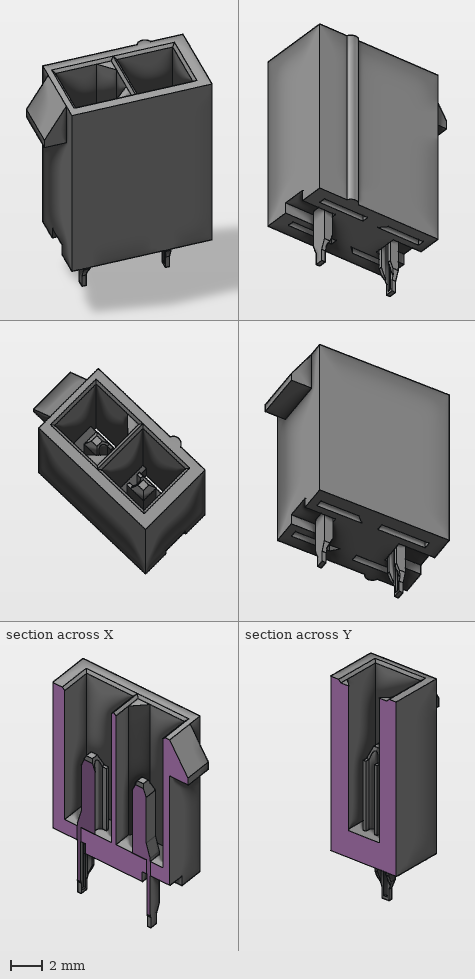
import cadquery as cq


TOTAL_HEIGHT = 16.3
HOUSING_HEIGHT = 12.8
MOUTH = 4.2
MOUTH_CHAMFER = 0.2
CAVITY = MOUTH - 2 * MOUTH_CHAMFER
LEFT_WALL = 0.6
RIGHT_WALL = 0.68
FRONT_WALL = 0.39
REAR_WALL = 0.8
HOUSING_LEFT = -MOUTH / 2 - LEFT_WALL
HOUSING_RIGHT = MOUTH / 2 + RIGHT_WALL
HOUSING_FRONT = -MOUTH - FRONT_WALL
HOUSING_REAR = MOUTH + REAR_WALL
FLOOR_TOP = 2.0
CAVITY_TOP = HOUSING_HEIGHT - MOUTH_CHAMFER

KEY_LEG = 1.0

FLOOR_WIDTH = 2.8
FLOOR_LEDGE = 0.31

NOTCH_WIDTH = 1.8
NOTCH_HEIGHT = 0.8

LATCH_WIDTH = 3.4
LATCH_REACH = 1.5
LATCH_HEIGHT = 3.0
LATCH_LIP = 0.6

RIB_RADIUS = 0.5
RIB_HEIGHT = 0.31
RIB_FROM_REAR = 2.67

PIN_SPAN = 6.0
PIN_WIDTH = 1.17
LEG_THICKNESS = 0.23
CHANNEL_WIDTH = PIN_WIDTH - 2 * LEG_THICKNESS

PLATE_THICKNESS = 0.3
SHANK_DEPTH = 0.65
TAIL_BOTTOM = HOUSING_HEIGHT - TOTAL_HEIGHT
TAIL_WIDTH = 0.6
LEGS_SLOPE_TOP = -1.45
LEGS_SLOPE_BOTTOM = -2.31
WAIST_TOP = -1.95
WAIST_BOTTOM = -2.64

TAIL_GROOVE_WIDTH = 0.3
TAIL_GROOVE_DEPTH = 0.15
TAIL_GROOVE_LIP = 0.23

JOG_BOTTOM = 2.25
JOG = 0.33
JOG_HEIGHT = 1.11
POST_TOP = 7.12
POST_INNER = 1.83
POINT_BASE_INNER = JOG + PIN_WIDTH
POINT_TIP = 0.5
POINT_HEIGHT = 0.88
GROOVE_ARC_DEPTH = 0.25

NOTCH_INNER = PIN_SPAN / 2 - SHANK_DEPTH


def box(x_range, y_range, z_range):
    """Axis-aligned block between pairs of limits."""
    (x0, x1), (y0, y1), (z0, z1) = x_range, y_range, z_range
    return cq.Workplane("XY").box(x1 - x0, y1 - y0, z1 - z0, centered=False).translate((x0, y0, z0))


def centred(width):
    """Limits of a width centred on zero."""
    return -width / 2, width / 2


def make_latch():
    """Wedge on the front face, sloping out from the top rim to a short vertical nose."""
    nose = HOUSING_FRONT - LATCH_REACH
    underside = HOUSING_HEIGHT - LATCH_HEIGHT
    housing_middle = (HOUSING_LEFT + HOUSING_RIGHT) / 2
    return (
        cq.Workplane("YZ")
        .moveTo(HOUSING_FRONT, HOUSING_HEIGHT)
        .lineTo(nose, underside + LATCH_LIP)
        .lineTo(nose, underside)
        .lineTo(HOUSING_FRONT, underside)
        .close()
        .extrude(LATCH_WIDTH / 2, both=True)
        .translate((housing_middle, 0, 0))
    )


def make_rib():
    """Full-height rounded rib on the left wall."""
    return (
        cq.Workplane("XY")
        .center(HOUSING_LEFT - RIB_HEIGHT + RIB_RADIUS, HOUSING_REAR - RIB_FROM_REAR)
        .circle(RIB_RADIUS)
        .extrude(HOUSING_HEIGHT)
        .intersect(box((HOUSING_LEFT - RIB_HEIGHT, 0), (0, HOUSING_REAR), (0, HOUSING_HEIGHT)))
    )


def make_cavity(side):
    """Square cavity with a chamfered mouth; side is -1 for the front and 1 for the rear."""
    middle = side * MOUTH / 2
    well = (
        cq.Workplane("XY", origin=(0, middle, FLOOR_TOP))
        .rect(CAVITY, CAVITY)
        .extrude(HOUSING_HEIGHT - FLOOR_TOP)
    )
    mouth = (
        cq.Workplane("XY", origin=(0, middle, CAVITY_TOP))
        .rect(CAVITY, CAVITY)
        .workplane(offset=MOUTH_CHAMFER)
        .rect(MOUTH, MOUTH)
        .loft(ruled=True)
    )
    return well.union(mouth)


def make_corner_key(side):
    """Triangular post filling a front-cavity corner at the partition, up to the chamfer."""
    corner_x = side * CAVITY / 2
    corner_y = -MOUTH_CHAMFER
    return (
        cq.Workplane("XY")
        .moveTo(corner_x, corner_y)
        .lineTo(corner_x - side * KEY_LEG, corner_y)
        .lineTo(corner_x, corner_y - KEY_LEG)
        .close()
        .extrude(CAVITY_TOP)
    )


def make_floor_opening(x_side, y_side):
    """Opening through the cavity floor, along one side wall."""
    x_range = sorted((x_side * FLOOR_WIDTH / 2, x_side * CAVITY / 2))
    y_range = sorted((y_side * (MOUTH_CHAMFER + FLOOR_LEDGE), y_side * (MOUTH - MOUTH_CHAMFER)))
    return box(x_range, y_range, (0, FLOOR_TOP))


def make_housing(pins):
    body = box((HOUSING_LEFT, HOUSING_RIGHT), (HOUSING_FRONT, HOUSING_REAR), (0, HOUSING_HEIGHT))
    body = body.union(make_latch()).union(make_rib())
    for y_side in (-1, 1):
        body = body.cut(make_cavity(y_side))
        for x_side in (-1, 1):
            body = body.cut(make_floor_opening(x_side, y_side))
    for x_side in (-1, 1):
        body = body.union(make_corner_key(x_side))
    for y_range in ((HOUSING_FRONT, -NOTCH_INNER), (NOTCH_INNER, HOUSING_REAR)):
        body = body.cut(box(centred(NOTCH_WIDTH), y_range, (0, NOTCH_HEIGHT)))
    for pin in pins:
        body = body.cut(pin)
    return body.solids()


def make_tail():
    """Channel-shaped shank through the floor, thinning and narrowing to a flat tail."""
    side_profile = (
        cq.Workplane("YZ")
        .moveTo(0, TAIL_BOTTOM)
        .lineTo(PLATE_THICKNESS, TAIL_BOTTOM)
        .lineTo(PLATE_THICKNESS, LEGS_SLOPE_BOTTOM)
        .lineTo(SHANK_DEPTH, LEGS_SLOPE_TOP)
        .lineTo(SHANK_DEPTH, FLOOR_TOP)
        .lineTo(0, FLOOR_TOP)
        .close()
        .extrude(PIN_WIDTH / 2, both=True)
    )
    face_profile = (
        cq.Workplane("XZ")
        .moveTo(TAIL_WIDTH / 2, TAIL_BOTTOM)
        .lineTo(TAIL_WIDTH / 2, WAIST_BOTTOM)
        .lineTo(PIN_WIDTH / 2, WAIST_TOP)
        .lineTo(PIN_WIDTH / 2, FLOOR_TOP)
        .lineTo(-PIN_WIDTH / 2, FLOOR_TOP)
        .lineTo(-PIN_WIDTH / 2, WAIST_TOP)
        .lineTo(-TAIL_WIDTH / 2, WAIST_BOTTOM)
        .lineTo(-TAIL_WIDTH / 2, TAIL_BOTTOM)
        .close()
        .extrude(-SHANK_DEPTH)
    )
    channel = box(centred(CHANNEL_WIDTH), (PLATE_THICKNESS, SHANK_DEPTH), (TAIL_BOTTOM, FLOOR_TOP))
    groove = box(
        centred(TAIL_GROOVE_WIDTH),
        (PLATE_THICKNESS - TAIL_GROOVE_DEPTH, PLATE_THICKNESS),
        (TAIL_BOTTOM + TAIL_GROOVE_LIP, NOTCH_HEIGHT),
    )
    return side_profile.intersect(face_profile).cut(channel).cut(groove)


def make_post():
    """Contact post standing on the floor, with a pyramid point and a groove on the inner face."""
    shaft = (
        cq.Workplane("YZ")
        .moveTo(0, FLOOR_TOP)
        .lineTo(POST_INNER, FLOOR_TOP)
        .lineTo(POST_INNER, POST_TOP)
        .lineTo(JOG, POST_TOP)
        .lineTo(JOG, JOG_BOTTOM + JOG_HEIGHT)
        .lineTo(0, JOG_BOTTOM)
        .close()
        .extrude(PIN_WIDTH / 2, both=True)
    )
    point = (
        cq.Workplane("XY", origin=(0, JOG + PIN_WIDTH / 2, POST_TOP))
        .rect(PIN_WIDTH, PIN_WIDTH)
        .workplane(offset=POINT_HEIGHT)
        .rect(POINT_TIP, POINT_TIP)
        .loft(ruled=True)
    )
    groove = (
        cq.Workplane("XY", origin=(0, 0, FLOOR_TOP))
        .moveTo(-CHANNEL_WIDTH / 2, POST_INNER)
        .lineTo(-CHANNEL_WIDTH / 2, POINT_BASE_INNER)
        .threePointArc((0, POINT_BASE_INNER - GROOVE_ARC_DEPTH), (CHANNEL_WIDTH / 2, POINT_BASE_INNER))
        .lineTo(CHANNEL_WIDTH / 2, POST_INNER)
        .close()
        .extrude(POST_TOP + POINT_HEIGHT - FLOOR_TOP)
    )
    return shaft.union(point).cut(groove)


def make_pin(side):
    """Pin of the front (-1) or rear (1) cavity; the two face each other."""
    front_pin = make_tail().union(make_post()).solids().translate((0, -PIN_SPAN / 2, 0))
    if side < 0:
        return front_pin
    return front_pin.mirror("XZ")


pins = [make_pin(side) for side in (-1, 1)]
housing = make_housing(pins)

result = cq.Compound.makeCompound([housing.val(), *[pin.val() for pin in pins]])